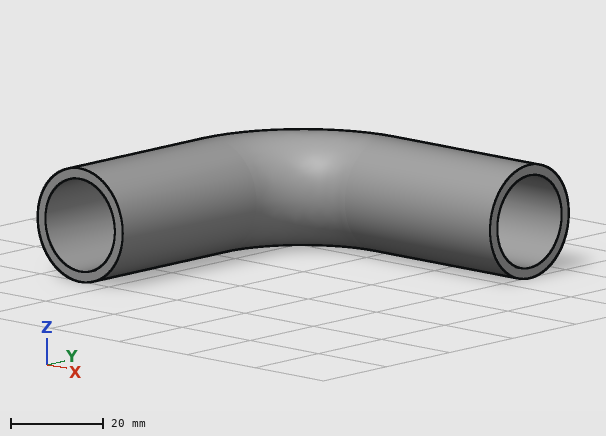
import cadquery as cq

overall_size = 81.0
outer_diameter = 25.0
inner_diameter = 20.4
straight_length = 42.5

outer_radius = outer_diameter / 2
bend_radius = overall_size - straight_length - outer_radius


def elbow_rod(diameter):
    """Solid round rod: a leg along +Y, a quarter bend, then a leg along +X."""
    section = cq.Workplane("XZ").circle(diameter / 2)
    first_leg = section.extrude(-straight_length)
    bend = (
        cq.Workplane("XZ", origin=(0, straight_length, 0))
        .circle(diameter / 2)
        .revolve(90, (bend_radius, 0, 0), (bend_radius, -1, 0))
    )
    second_leg = (
        cq.Workplane("YZ", origin=(bend_radius, straight_length + bend_radius, 0))
        .circle(diameter / 2)
        .extrude(straight_length)
    )
    return first_leg.union(bend).union(second_leg)


result = elbow_rod(outer_diameter).cut(elbow_rod(inner_diameter))